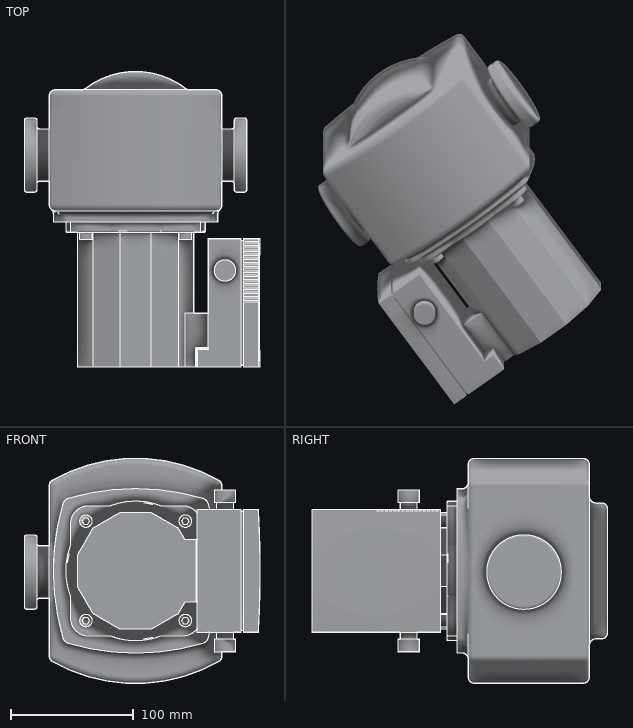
import cadquery as cq
import math


OVERALL_LENGTH = 240.5

CASING_HALF_WIDTH = 70.2
CASING_CORNER_Z = 72.2
CASING_HALF_HEIGHT = 91.6
CASING_BACK = 53.2
CASING_FRONT = -45.5
CASING_ROUND = 5.0

BULGE_BACK = 68.0
BULGE_RADIUS = 66.5
BULGE_HALF_HEIGHT = 55.3

SEAT_HALF_WIDTH = 66.9
SEAT_CORNER = 58.0
SEAT_CORNER_RADIUS = 7.0
SEAT_FRONT = -54.5

PIPE_Z = -1.0
NECK_RADIUS = 21.5
FLANGE_RADIUS = 30.3
FLANGE_END = 90.5
FLANGE_THICKNESS = 10.3
FLANGE_RIM_ROUND = 2.2
NECK_FILLET = 2.0

PLATE_HALF_WIDTH = 53.0
PLATE_CORNER_RADIUS = 14.7
PLATE_BOSS_RADIUS = 56.8
PLATE_THICKNESS = 8.2
PLATE_ROUND = 1.0
PLATE_FRONT = SEAT_FRONT - PLATE_THICKNESS
BARREL_SIDES = 12
BARREL_APOTHEM = 47.5
MOTOR_END = BULGE_BACK - OVERALL_LENGTH
CONNECTOR_HALF_HEIGHT = 25.5
CONNECTOR_BACK = -128.5

SCREW_OFFSET = 40.5
SCREW_RADIUS = 5.0
SCREW_HEIGHT = 6.0
SOCKET_ACROSS_CORNERS = 6.0
SOCKET_SIDES = 6
SOCKET_DEPTH = 3.0

BOX_LEFT = 59.0
BOX_RIGHT = 85.9
BOX_HALF_HEIGHT = 50.0
BOX_BACK = -67.8
LIP_LEFT = 50.0
LIP_BACK = -157.8
LIP_CLEARANCE = 1.0
JOINT_WIDTH = 1.7
JOINT_DEPTH = 1.5
COVER_LEFT = BOX_RIGHT + JOINT_WIDTH
COVER_RIGHT = 101.3
COVER_CROWN = 1.5
COVER_HOLLOW = 0.7
GROOVE_COUNT = 15
GROOVED_LENGTH = 48.0
GROOVE_PITCH = GROOVED_LENGTH / (GROOVE_COUNT - 1)
GROOVE_WIDTH = 1.2
GROOVE_DEPTH = 1.5
FIRST_GROOVE_Y = -70.7
GLAND_X = 72.6
GLAND_Y = -93.8
GLAND_STEM_RADIUS = 7.0
GLAND_HEAD_RADIUS = 8.7
GLAND_HEAD_BOTTOM = 55.5
GLAND_TOP = 66.0

SELECTION_MARGIN = 0.7


def box_between(x_range, y_range, z_range):
    """Box given by its limits along each axis."""
    size = [high - low for low, high in (x_range, y_range, z_range)]
    return cq.Workplane("XY").box(*size, centered=False).translate((x_range[0], y_range[0], z_range[0]))


def sketch_at(y):
    """Workplane across the motor axis, with X right, Z up and its normal along -Y."""
    return cq.Workplane("XZ", origin=(0, y, 0))


def casing_block():
    block = (
        sketch_at(CASING_BACK)
        .moveTo(-CASING_HALF_WIDTH, -CASING_CORNER_Z)
        .threePointArc((0, -CASING_HALF_HEIGHT), (CASING_HALF_WIDTH, -CASING_CORNER_Z))
        .lineTo(CASING_HALF_WIDTH, CASING_CORNER_Z)
        .threePointArc((0, CASING_HALF_HEIGHT), (-CASING_HALF_WIDTH, CASING_CORNER_Z))
        .close()
        .extrude(CASING_BACK - CASING_FRONT)
    )
    return block.edges().fillet(CASING_ROUND)


def back_bulge():
    bulge = (
        cq.Workplane("XY", origin=(0, BULGE_BACK - BULGE_RADIUS, -BULGE_HALF_HEIGHT))
        .circle(BULGE_RADIUS)
        .extrude(2 * BULGE_HALF_HEIGHT)
        .edges()
        .fillet(CASING_ROUND)
    )
    reach = BULGE_RADIUS
    behind = box_between((-reach, reach), (0, BULGE_BACK), (-reach, reach))
    return bulge.intersect(behind)


def motor_seat():
    corner = SEAT_CORNER
    bow = SEAT_HALF_WIDTH
    return (
        sketch_at(0)
        .moveTo(-corner, -corner)
        .threePointArc((0, -bow), (corner, -corner))
        .threePointArc((bow, 0), (corner, corner))
        .threePointArc((0, bow), (-corner, corner))
        .threePointArc((-bow, 0), (-corner, -corner))
        .close()
        .extrude(-SEAT_FRONT)
        .edges("|Y")
        .fillet(SEAT_CORNER_RADIUS)
    )


def pipe_flange(side):
    neck = cq.Workplane("YZ").circle(NECK_RADIUS).extrude(side * FLANGE_END)
    disc = (
        cq.Workplane("YZ", origin=(side * FLANGE_END, 0, 0))
        .circle(FLANGE_RADIUS)
        .extrude(-side * FLANGE_THICKNESS)
        .edges()
        .fillet(FLANGE_RIM_ROUND)
    )
    inner = side * (FLANGE_END - FLANGE_THICKNESS)
    reach = NECK_RADIUS + SELECTION_MARGIN
    junction = cq.selectors.BoxSelector(
        (inner - SELECTION_MARGIN, -reach, -reach),
        (inner + SELECTION_MARGIN, reach, reach),
        boundingbox=True,
    )
    flange = neck.union(disc).edges(junction).fillet(NECK_FILLET)
    return flange.translate((0, 0, PIPE_Z))


def slab_selector(low_y, high_y):
    """Selects what has its centre between two planes across the motor axis."""
    reach = CASING_HALF_HEIGHT
    return cq.selectors.BoxSelector((-reach, low_y, -reach), (reach, high_y, reach))


def build_casing():
    margin = SELECTION_MARGIN
    casing = casing_block().union(motor_seat())
    seat_walls = casing.faces(slab_selector(SEAT_FRONT + margin, CASING_FRONT - margin))
    seat_foot = seat_walls.edges(slab_selector(CASING_FRONT - margin, CASING_FRONT + margin))
    casing = seat_foot.fillet(CASING_ROUND)

    casing = casing.union(back_bulge())
    bulge_walls = casing.faces(slab_selector(CASING_BACK + margin, BULGE_BACK))
    bulge_foot = bulge_walls.edges(slab_selector(CASING_BACK - margin, CASING_BACK + margin))
    casing = bulge_foot.fillet(CASING_ROUND)

    for side in (-1, 1):
        casing = casing.union(pipe_flange(side))
    return casing


def build_motor():
    width = 2 * PLATE_HALF_WIDTH
    plate = sketch_at(SEAT_FRONT).rect(width, width).extrude(PLATE_THICKNESS)
    plate = plate.edges("|Y").fillet(PLATE_CORNER_RADIUS)
    boss = sketch_at(SEAT_FRONT).circle(PLATE_BOSS_RADIUS).extrude(PLATE_THICKNESS)
    plate = plate.union(boss).faces("<Y").edges().fillet(PLATE_ROUND)

    barrel_diameter = 2 * BARREL_APOTHEM / math.cos(math.pi / BARREL_SIDES)
    barrel = (
        sketch_at(PLATE_FRONT)
        .transformed(rotate=(0, 0, 180 / BARREL_SIDES))
        .polygon(BARREL_SIDES, barrel_diameter)
        .extrude(PLATE_FRONT - MOTOR_END)
    )

    connector_z = (-CONNECTOR_HALF_HEIGHT, CONNECTOR_HALF_HEIGHT)
    connector = box_between((0, BOX_LEFT), (MOTOR_END, CONNECTOR_BACK), connector_z)
    lip_space = box_between(
        (LIP_LEFT - LIP_CLEARANCE, BOX_LEFT), (MOTOR_END, LIP_BACK + LIP_CLEARANCE), connector_z
    )
    return plate.union(barrel).union(connector.cut(lip_space))


def build_screw(x, z):
    return (
        cq.Workplane("XZ", origin=(x, PLATE_FRONT, z))
        .circle(SCREW_RADIUS)
        .extrude(SCREW_HEIGHT)
        .faces("<Y")
        .workplane()
        .polygon(SOCKET_SIDES, SOCKET_ACROSS_CORNERS)
        .cutBlind(-SOCKET_DEPTH)
    )


def box_cover():
    """Cover whose outer face is crowned along Z and hollowed along Y."""
    edge = COVER_RIGHT - COVER_CROWN
    crowned = (
        cq.Workplane("XZ", origin=(0, BOX_BACK, 0))
        .moveTo(COVER_LEFT, -BOX_HALF_HEIGHT)
        .lineTo(edge, -BOX_HALF_HEIGHT)
        .threePointArc((COVER_RIGHT, 0), (edge, BOX_HALF_HEIGHT))
        .lineTo(COVER_LEFT, BOX_HALF_HEIGHT)
        .close()
        .extrude(BOX_BACK - MOTOR_END)
    )
    middle_y = (BOX_BACK + MOTOR_END) / 2
    hollow = (
        cq.Workplane("XY", origin=(0, 0, -BOX_HALF_HEIGHT))
        .moveTo(COVER_RIGHT, MOTOR_END)
        .threePointArc((COVER_RIGHT - COVER_HOLLOW, middle_y), (COVER_RIGHT, BOX_BACK))
        .close()
        .extrude(2 * BOX_HALF_HEIGHT)
    )
    cover = crowned.cut(hollow)
    for i in range(GROOVE_COUNT):
        y = FIRST_GROOVE_Y - i * GROOVE_PITCH
        cover = cover.cut(
            box_between(
                (COVER_LEFT, COVER_RIGHT),
                (y - GROOVE_WIDTH / 2, y + GROOVE_WIDTH / 2),
                (BOX_HALF_HEIGHT - GROOVE_DEPTH, BOX_HALF_HEIGHT),
            )
        )
    return cover


def gland_section(side, radius, bottom, top):
    disc = cq.Workplane("XY", origin=(GLAND_X, GLAND_Y, side * bottom)).circle(radius)
    return disc.extrude(side * (top - bottom))


def cable_gland(side):
    stem = gland_section(side, GLAND_STEM_RADIUS, BOX_HALF_HEIGHT, GLAND_HEAD_BOTTOM)
    head = gland_section(side, GLAND_HEAD_RADIUS, GLAND_HEAD_BOTTOM, GLAND_TOP)
    return stem.union(head)


def build_control_box():
    box_z = (-BOX_HALF_HEIGHT, BOX_HALF_HEIGHT)
    core_z = (-BOX_HALF_HEIGHT + JOINT_DEPTH, BOX_HALF_HEIGHT - JOINT_DEPTH)
    core_y = (MOTOR_END + JOINT_DEPTH, BOX_BACK - JOINT_DEPTH)
    control_box = box_between((BOX_LEFT, BOX_RIGHT), (MOTOR_END, BOX_BACK), box_z)
    lip = box_between((LIP_LEFT, BOX_LEFT), (MOTOR_END, LIP_BACK), box_z)
    core = box_between((BOX_RIGHT, COVER_LEFT), core_y, core_z)
    control_box = control_box.union(lip).union(core).union(box_cover())
    for side in (-1, 1):
        control_box = control_box.union(cable_gland(side))
    return control_box


casing = build_casing()
motor = build_motor()
control_box = build_control_box()
screws = [
    build_screw(x, z).val()
    for x in (-SCREW_OFFSET, SCREW_OFFSET)
    for z in (-SCREW_OFFSET, SCREW_OFFSET)
]

result = cq.Compound.makeCompound([casing.val(), motor.val(), control_box.val(), *screws])